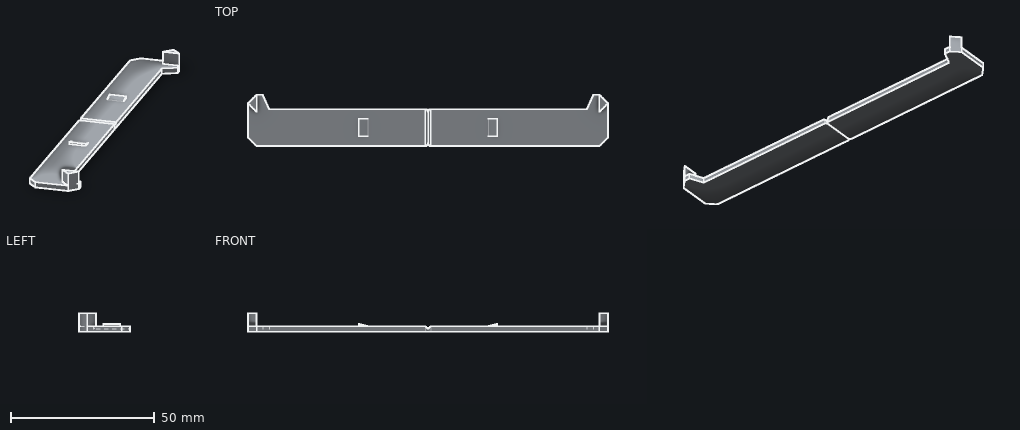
import cadquery as cq

length = 125.6
total_depth = 18.0
total_height = 6.5
thickness = 2.0
bar_depth = 12.9

corner = 3.0
joint_break = 1.0
lug_tip_width = 2.1
lug_root_width = 7.4

ramp_length = 3.0
ramp_width = 6.0
ramp_height = 0.8
ramp_start = 38.7

half_length = length / 2
outer_x = -half_length
ramp_x = outer_x + ramp_start


def left_plate():
    """Flat half bar with cut corners and a lug; its joint face is chamfered on top, rounded at the sides."""
    plate = (
        cq.Workplane("XY")
        .moveTo(0, 0)
        .lineTo(outer_x + corner, 0)
        .lineTo(outer_x, corner)
        .lineTo(outer_x, total_depth - corner)
        .lineTo(outer_x + corner, total_depth)
        .lineTo(outer_x + corner + lug_tip_width, total_depth)
        .lineTo(outer_x + lug_root_width, bar_depth)
        .lineTo(0, bar_depth)
        .close()
        .extrude(thickness)
    )
    plate = plate.faces(">X").edges(">Z").chamfer(joint_break)
    return plate.faces(">X").edges("|Z").fillet(joint_break)


def corner_post():
    """Triangular post standing on the cut corner of the lug."""
    return (
        cq.Workplane("XY")
        .moveTo(outer_x, total_depth - corner)
        .lineTo(outer_x + corner, total_depth)
        .lineTo(outer_x + corner, total_depth - 2 * corner)
        .close()
        .extrude(total_height)
    )


def ramp():
    """Low wedge, tall on its outer side, falling to the plate toward the joint."""
    return (
        cq.Workplane("XZ", origin=(0, (bar_depth + ramp_width) / 2, 0))
        .moveTo(ramp_x, 0)
        .lineTo(ramp_x, thickness + ramp_height)
        .lineTo(ramp_x + ramp_length, thickness)
        .lineTo(ramp_x + ramp_length, 0)
        .close()
        .extrude(ramp_width)
    )


def half_bar():
    """One complete half, on the -X side of the joint."""
    return left_plate().union(corner_post()).union(ramp())


left_half = half_bar()
right_half = left_half.mirror("YZ")

result = cq.Compound.makeCompound([left_half.val(), right_half.val()])